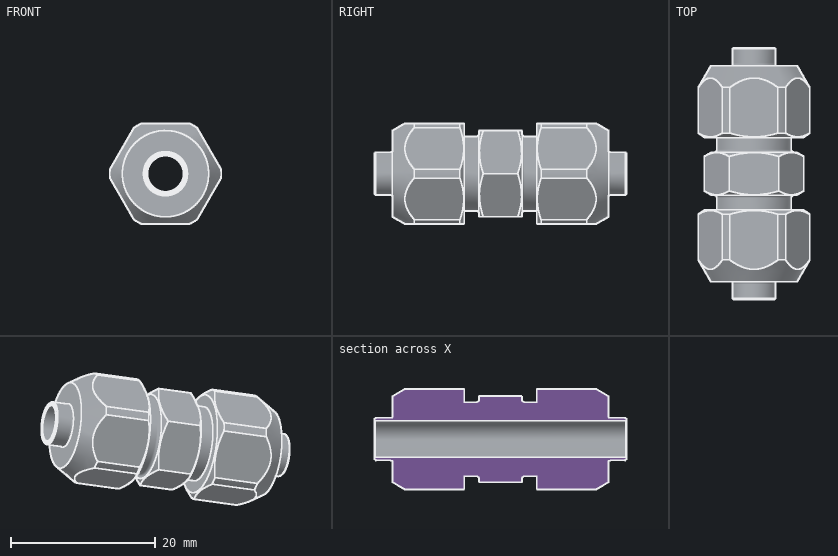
import cadquery as cq
import math

total_length = 35.0
nut_outer_face = 15.0
nut_inner_face = 5.0
center_hex_length = 6.0

nut_across_flats = 14.0
nut_corner_diameter = 15.5
nut_face_diameter = 12.0
nut_back_diameter = 13.72
nut_back_chamfer = 0.63

center_across_flats = 12.0
center_face_diameter = 11.8
body_diameter = 10.4
body_fillet = 0.35

tube_diameter = 6.0
bore_diameter = 5.0
tube_edge_chamfer = 0.18
bore_edge_chamfer = 0.1
tube_foot_length = 0.28
tube_foot_flare = 0.07

cone_slope = math.tan(math.radians(60))


def revolve_about_y(points):
    """Turn a closed (radius, y) outline around the Y axis."""
    return cq.Workplane("XY").polyline(points).close().revolve(360, (0, 0, 0), (0, 1, 0))


def hexagon(across_flats, y_start, y_end):
    """Hexagonal bar along Y with flats facing +Z and -Z."""
    corner_diameter = across_flats / math.cos(math.radians(30))
    return (
        cq.Workplane("XZ", origin=(0, y_end, 0))
        .polygon(6, corner_diameter)
        .extrude(y_end - y_start)
    )


def make_nut():
    """Nut on the +Y side: hexagon with rounded corners, outer cone and back chamfer."""
    corner_radius = nut_corner_diameter / 2
    face_radius = nut_face_diameter / 2
    back_radius = nut_back_diameter / 2
    cone_length = (corner_radius - face_radius) * cone_slope
    envelope = revolve_about_y([
        (0, nut_inner_face),
        (back_radius, nut_inner_face),
        (corner_radius, nut_inner_face + nut_back_chamfer),
        (corner_radius, nut_outer_face - cone_length),
        (face_radius, nut_outer_face),
        (0, nut_outer_face),
    ])
    return hexagon(nut_across_flats, nut_inner_face, nut_outer_face).intersect(envelope)


def make_center_hex():
    """Sharp-cornered hexagon with its corners chamfered at both ends."""
    half_length = center_hex_length / 2
    face_radius = center_face_diameter / 2
    outer_radius = center_across_flats / math.sqrt(3)
    chamfer_length = (outer_radius - face_radius) / cone_slope
    envelope = revolve_about_y([
        (0, -half_length),
        (face_radius, -half_length),
        (outer_radius, chamfer_length - half_length),
        (outer_radius, half_length - chamfer_length),
        (face_radius, half_length),
        (0, half_length),
    ])
    return hexagon(center_across_flats, -half_length, half_length).intersect(envelope)


def make_body_neck():
    """Cylinder from the middle to the +Y nut, filleted where it leaves the hexagon."""
    radius = body_diameter / 2
    hex_face = center_hex_length / 2
    return (
        cq.Workplane("XY")
        .lineTo(0, nut_inner_face)
        .lineTo(radius, nut_inner_face)
        .lineTo(radius, hex_face + body_fillet)
        .radiusArc((radius + body_fillet, hex_face), -body_fillet)
        .lineTo(radius + body_fillet, 0)
        .close()
        .revolve(360, (0, 0, 0), (0, 1, 0))
    )


def make_tube_end():
    """Tube stub beyond the +Y nut, slightly flared at its foot and chamfered at its end."""
    radius = tube_diameter / 2
    tube_end = total_length / 2
    return revolve_about_y([
        (0, nut_outer_face),
        (radius + tube_foot_flare, nut_outer_face),
        (radius, nut_outer_face + tube_foot_length),
        (radius, tube_end - tube_edge_chamfer),
        (radius - tube_edge_chamfer, tube_end),
        (0, tube_end),
    ])


def make_bore():
    """Through bore, widened by a small chamfer at both ends."""
    radius = bore_diameter / 2
    tube_end = total_length / 2
    chamfer_start = tube_end - bore_edge_chamfer
    return revolve_about_y([
        (0, -tube_end),
        (radius + bore_edge_chamfer, -tube_end),
        (radius, -chamfer_start),
        (radius, chamfer_start),
        (radius + bore_edge_chamfer, tube_end),
        (0, tube_end),
    ])


half_fitting = make_body_neck().union(make_nut()).union(make_tube_end())
result = (
    make_center_hex()
    .union(half_fitting)
    .union(half_fitting.mirror("XZ"))
    .cut(make_bore())
)